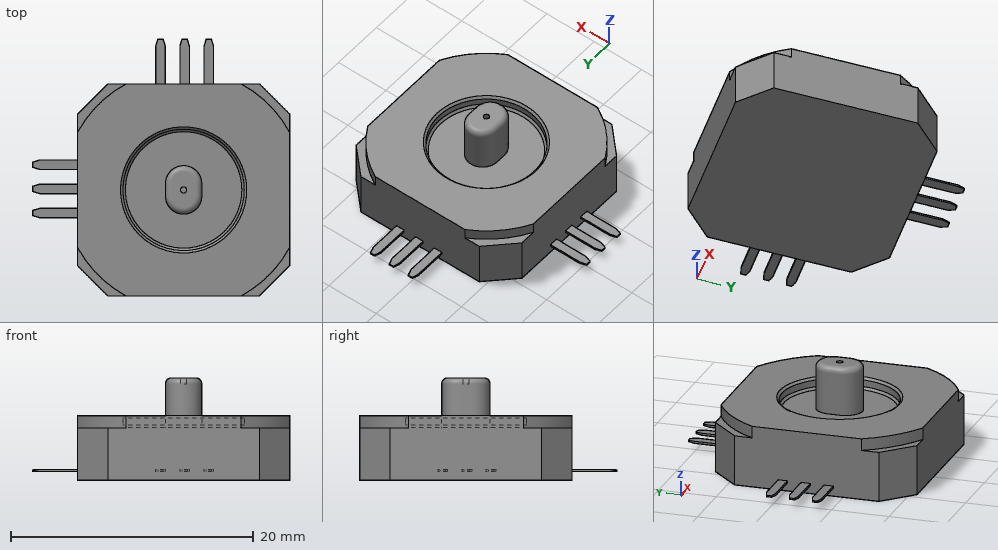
import cadquery as cq

overall = 21.2
side = 17.51
height = 5.35
corner_cut = 2.5
rim_height = 1.02
rim_diameter = 19.9

recess_diameter = 10.0
recess_bevel = 0.201
recess_depth = 1.0

stick_top = 8.45
stick_width = 3.0
stick_length = 4.0
stick_rounding = 0.5
stick_hole_diameter = 0.5
stick_hole_depth = 0.5

pin_count = 3
pin_pitch = 2.0
pin_width = 0.8
pin_thickness = 0.2
pin_length = overall - side
pin_height = 0.8
pin_offset = 0.08
tip_length = 0.6
tip_width = 0.45
tip_thickness = 0.13

recess_floor = height - recess_depth


def make_block():
    """Block with cut corners whose top layer is trimmed to a circle."""
    block = cq.Workplane("XY").rect(side, side).extrude(height).edges("|Z").chamfer(corner_cut)
    base = block.intersect(cq.Workplane("XY").rect(side, side).extrude(height - rim_height))
    rim = (
        cq.Workplane("XY", origin=(0, 0, height - rim_height))
        .rect(side, side)
        .extrude(rim_height)
        .intersect(cq.Workplane("XY").circle(rim_diameter / 2).extrude(height))
    )
    return base.union(rim)


def make_recess():
    """Solid of revolution that is removed from the top face."""
    radius = recess_diameter / 2
    profile = [
        (0, recess_floor),
        (radius - recess_bevel, recess_floor),
        (radius, recess_floor + recess_bevel),
        (radius, height - recess_bevel),
        (radius + recess_bevel, height),
        (0, height),
    ]
    return cq.Workplane("XZ").polyline(profile).close().revolve(360, (0, 0, 0), (0, 1, 0))


def make_stick():
    """Stick rising from the recess floor, with a small blind hole in its top."""
    return (
        cq.Workplane("XY", origin=(0, 0, recess_floor))
        .slot2D(stick_length, stick_width, 90)
        .extrude(stick_top - recess_floor)
        .faces(">Z")
        .edges()
        .fillet(stick_rounding)
        .faces(">Z")
        .workplane()
        .hole(stick_hole_diameter, stick_hole_depth)
    )


def make_pin(offset):
    """Pin standing out from the +Y side, shifted along X by the offset."""
    shank_length = pin_length - tip_length
    shank = cq.Workplane("XZ").rect(pin_width, pin_thickness).extrude(-shank_length)
    tip = (
        cq.Workplane("XZ", origin=(0, shank_length, 0))
        .rect(pin_width, pin_thickness)
        .workplane(offset=-tip_length)
        .rect(tip_width, tip_thickness)
        .loft(ruled=True)
    )
    return shank.union(tip).translate((offset, side / 2, pin_height))


housing = make_block().cut(make_recess()).union(make_stick())

pins = []
for side_angle in (0, 90):
    for index in range(pin_count):
        offset = pin_offset + (index - (pin_count - 1) / 2) * pin_pitch
        pin = make_pin(offset).rotate((0, 0, 0), (0, 0, 1), side_angle)
        pins.append(pin.val())

result = cq.Compound.makeCompound([housing.val(), *pins])